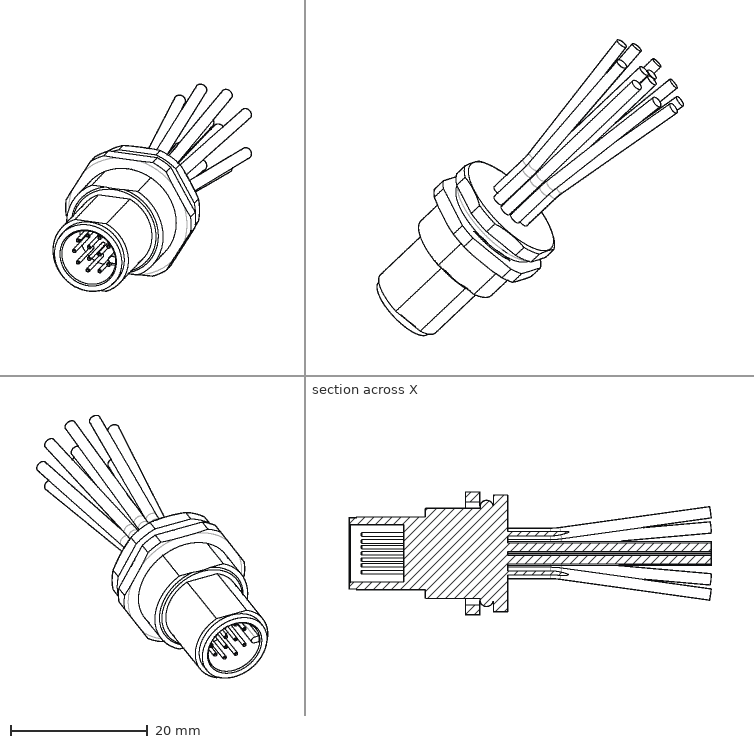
import cadquery as cq
import math

total_length = 52.9

nose_end = 1.05
sleeve_end = 11.1
step_end = 11.35
front_hex_start = 17.0
hex_thickness = 2.1
ring_thickness = 1.95
front_hex_end = front_hex_start + hex_thickness
rear_hex_start = front_hex_end + ring_thickness
rear_hex_end = rear_hex_start + hex_thickness

nose_radius = 5.25
sleeve_radius = 5.85
sleeve_half_height = 5.35
collar_radius = 7.5
collar_half_height = 6.6
step_front_radius = 6.5
step_back_radius = 6.75

front_hex_flats = 18.0
front_hex_diameter = 19.5
front_hex_chamfer_radial = 0.6
front_hex_chamfer_depth = 0.15
rear_hex_flats = 17.1
rear_hex_diameter = 18.05
rear_hex_chamfer_radial = 0.55
rear_hex_chamfer_depth = 0.3

ring_outer_radius = 7.75
ring_section_radius = ring_thickness / 2
ring_center_radius = ring_outer_radius - ring_section_radius

socket_radius = 4.2
socket_depth = 7.95
socket_chamfer = 0.2
key_tip = 2.95
key_width = 1.05
key_start = 0.55
pin_radius = 0.25
pin_chamfer = 0.1
pin_start = 1.75
outer_pin_circle = 2.85
inner_circle = 1.05

outer_count = 9
outer_pitch = 37.5
inner_count = 3
outer_angles = [180 + outer_pitch * (i - outer_count // 2) for i in range(outer_count)]
inner_angles = [360 / inner_count * i for i in range(inner_count)]

wire_radius = 0.85
wire_circle = 2.95
wire_end_circle = 6.25
bend_start = 29.4
bend_end = 30.9

overlap = 0.25


def cross_section(y):
    """Workplane across the axis at station y, extruding toward +Y."""
    return cq.Workplane("XZ", origin=(0, y, 0)).transformed(rotate=(180, 0, 0))


def cylinder(radius, start, end):
    return cross_section(start).circle(radius).extrude(end - start)


def cone(front_radius, back_radius, start, end):
    solid = cq.Solid.makeCone(front_radius, back_radius, end - start,
                              pnt=cq.Vector(0, start, 0), dir=cq.Vector(0, 1, 0))
    return cq.Workplane(solid)


def flatted_cylinder(radius, half_height, start, end):
    """Cylinder with flats on its top and bottom."""
    flats = cross_section(start).rect(2 * radius, 2 * half_height).extrude(end - start)
    return cylinder(radius, start, end).intersect(flats)


def hex_flange(flats, diameter, start, chamfered_face, radial, depth):
    """Hexagon with corners on X, turned to a diameter and chamfered on one face."""
    corner_diameter = flats / math.cos(math.pi / 6)
    hexagon = cross_section(start).polygon(6, corner_diameter).extrude(hex_thickness)
    blank = cylinder(diameter / 2, start, start + hex_thickness)
    blank = blank.faces(chamfered_face).chamfer(depth, radial)
    return hexagon.intersect(blank)


def on_circle(radius, angle):
    """X and Z of a point around the axis."""
    return radius * math.cos(math.radians(angle)), radius * math.sin(math.radians(angle))


def make_body():
    body = cylinder(nose_radius, 0, sleeve_end)
    body = body.union(flatted_cylinder(sleeve_radius, sleeve_half_height, nose_end, step_end))
    body = body.union(make_step())
    body = body.union(flatted_cylinder(collar_radius, collar_half_height, step_end, front_hex_start))
    body = body.union(hex_flange(front_hex_flats, front_hex_diameter, front_hex_start,
                                 "<Y", front_hex_chamfer_radial, front_hex_chamfer_depth))
    body = body.cut(flat_gaps())
    body = body.union(hex_flange(rear_hex_flats, rear_hex_diameter, rear_hex_start,
                                 ">Y", rear_hex_chamfer_radial, rear_hex_chamfer_depth))
    core = flatted_cylinder(ring_center_radius, collar_half_height, front_hex_start, rear_hex_end)
    body = body.union(core)
    return body.union(make_sealing_ring())


def make_step():
    """Conical step on the front face of the collar, cut by the collar flats."""
    step = cone(step_front_radius, step_back_radius, sleeve_end, step_end)
    return step.intersect(flatted_cylinder(collar_radius, collar_half_height, sleeve_end, step_end))


def flat_gaps():
    """Openings through the front flange between its round bore and the collar flats."""
    bore = cylinder(collar_radius, front_hex_start, front_hex_end)
    core = flatted_cylinder(collar_radius, collar_half_height, front_hex_start, front_hex_end)
    return bore.cut(core)


def make_sealing_ring():
    middle = front_hex_end + ring_section_radius
    section = cq.Workplane("XY").center(ring_center_radius, middle).circle(ring_section_radius)
    return section.revolve(360, (-ring_center_radius, 0), (-ring_center_radius, 1))


def cut_socket(body):
    body = body.cut(cylinder(socket_radius, 0, socket_depth))
    return body.cut(cone(socket_radius + socket_chamfer, socket_radius, 0, socket_chamfer))


def make_key():
    """Round-nosed rib on the +X wall of the socket."""
    nose_center = key_tip + key_width / 2
    rib_end = socket_radius + overlap
    length = socket_depth + overlap - key_start
    nose = cross_section(key_start).center(nose_center, 0).circle(key_width / 2).extrude(length)
    rib_middle = (nose_center + rib_end) / 2
    rib = cross_section(key_start).center(rib_middle, 0).rect(rib_end - nose_center, key_width)
    return nose.union(rib.extrude(length))


def make_pin(circle_radius, angle):
    x, z = on_circle(circle_radius, angle)
    pin = cylinder(pin_radius, pin_start, socket_depth + overlap).faces("<Y").chamfer(pin_chamfer)
    return pin.translate((x, 0, z))


def make_straight_wire(angle):
    x, z = on_circle(inner_circle, angle)
    return cylinder(wire_radius, rear_hex_end - overlap, total_length).translate((x, 0, z))


def make_flared_wire(angle):
    """Wire that leaves parallel to the axis, bends outward and runs on straight."""
    bend_middle = (bend_start + bend_end) / 2
    slope = math.atan((wire_end_circle - wire_circle) / (total_length - bend_middle))
    bend_radius = (bend_end - bend_start) / math.sin(slope)
    end_y = total_length - wire_radius * math.sin(slope)

    def bend_point(turn):
        return (wire_circle + bend_radius * (1 - math.cos(turn)),
                bend_start + bend_radius * math.sin(turn))

    end_x = bend_point(slope)[0] + (end_y - bend_end) * math.tan(slope)
    path = (cq.Workplane("XY")
            .moveTo(wire_circle, rear_hex_end - overlap)
            .lineTo(wire_circle, bend_start)
            .threePointArc(bend_point(slope / 2), bend_point(slope))
            .lineTo(end_x, end_y))
    profile = cross_section(rear_hex_end - overlap).center(wire_circle, 0).circle(wire_radius)
    return profile.sweep(path).rotate((0, 0, 0), (0, 1, 0), -angle)


result = cut_socket(make_body()).union(make_key())
for contact_angle in outer_angles:
    result = result.union(make_pin(outer_pin_circle, contact_angle))
    result = result.union(make_flared_wire(contact_angle))
for contact_angle in inner_angles:
    result = result.union(make_pin(inner_circle, contact_angle))
    result = result.union(make_straight_wire(contact_angle))